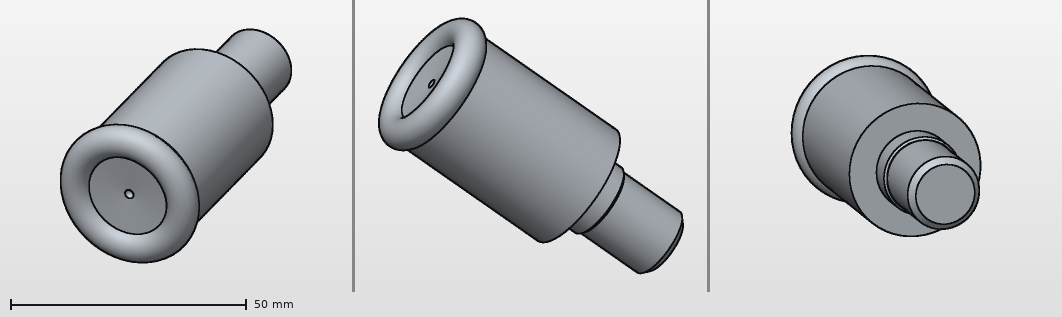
import cadquery as cq
import math

total_length = 67.0
body_end = 43.15
collar_end = 49.6

rim_radius = 16.0
body_radius = 14.5
collar_radius = 8.5
shank_radius = 7.9
dish_radius = 9.2
hole_radius = 1.0

collar_chamfer = 0.55
shank_chamfer = 1.4
dish_depth = 0.7

bead_radius = 3.5
bead_center_radius = rim_radius - bead_radius
bead_center_y = bead_radius


def bead_rise(radius):
    """Distance along Y from the bead centre to its surface at a radius from the axis."""
    return math.sqrt(bead_radius**2 - (radius - bead_center_radius) ** 2)


rim_end = bead_center_y + bead_rise(body_radius)
dish_edge = bead_center_y - bead_rise(dish_radius)
hole_edge = dish_edge + dish_depth


def turned_body():
    """Half section (radius, Y) revolved about the Y axis."""
    profile = (
        cq.Workplane("XY")
        .moveTo(0, hole_edge + hole_radius)
        .threePointArc(
            (hole_radius * math.sqrt(0.5), hole_edge + hole_radius * math.sqrt(0.5)),
            (hole_radius, hole_edge),
        )
        .lineTo(dish_radius, dish_edge)
        .threePointArc(
            (
                bead_center_radius + bead_radius * math.sqrt(0.5),
                bead_center_y - bead_radius * math.sqrt(0.5),
            ),
            (body_radius, rim_end),
        )
        .lineTo(body_radius, body_end)
        .lineTo(collar_radius, body_end)
        .lineTo(collar_radius, collar_end - collar_chamfer)
        .lineTo(collar_radius - collar_chamfer, collar_end)
        .lineTo(shank_radius, collar_end)
        .lineTo(shank_radius, total_length - shank_chamfer)
        .lineTo(shank_radius - shank_chamfer, total_length)
        .lineTo(0, total_length)
        .close()
    )
    return profile.revolve(360, (0, 0, 0), (0, 1, 0))


result = turned_body()